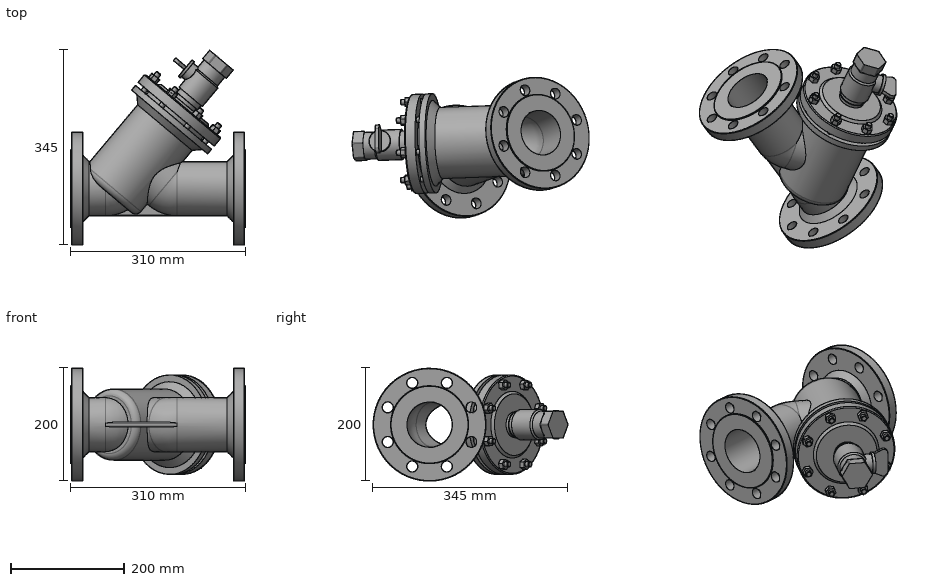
import cadquery as cq
import math

length = 310.0
pipe_radius = 96.0 / 2
bore_radius = 80.0 / 2
half_length = length / 2

flange_radius = 200.0 / 2
flange_thickness = 20.0
flange_edge = 1.0
raised_face_radius = 138.0 / 2
raised_face_height = 2.0
hub_length = 11.0
hub_radius = pipe_radius + hub_length
flange_hole_diameter = 19.0
flange_hole_circle_radius = 160.0 / 2
hole_count = 8
hole_spacing = 360.0 / hole_count

branch_angle = 50.0
branch_radius = 126.0 / 2
branch_corner = 12.0
branch_bottom = -branch_corner
neck_bottom = 141.0
neck_height = 13.0
neck_top_radius = branch_radius + neck_height
joint_flange_radius = 176.0 / 2
joint_bottom = neck_bottom + neck_height
joint_top = 165.0

bend_axis_y = 30.0
inlet_turn = branch_angle
outlet_turn = 90.0 - branch_angle
inlet_bend_x = -92.7
outlet_bend_x = 33.8
branch_origin_x = inlet_bend_x + bend_axis_y * math.tan(math.radians(inlet_turn / 2))
outlet_corner_x = outlet_bend_x - bend_axis_y * math.tan(math.radians(outlet_turn / 2))

rib_thickness = 9.0
rib_edge = 2.0

spigot_height = 7.0
cover_bottom = joint_top + spigot_height
cover_top = 191.0
cover_edge = 2.0
cap_height = 4.5
cap_top = cover_top + cap_height
cap_base_radius = 59.0
cap_top_radius = cap_base_radius - cap_height

root_radius = 45.0 / 2
root_top = 202.3
collar_radius = 48.0 / 2
barrel_radius = 54.0 / 2
barrel_bottom = 212.0
barrel_top = 254.5
barrel_shoulder_top = barrel_top + barrel_radius - collar_radius
hex_bottom = 277.5
hex_top = 296.8
hex_width = 48.0
hex_edge = 2.0

port_height = 244.8
port_radius = 32.0 / 2
disc_radius = 38.0 / 2
disc_inner = 35.0
disc_outer = 40.0
lever_end = 64.7
lever_thickness = 6.5
lever_root_half_width = 18.4
lever_end_half_width = 30.1
lever_corner = 8.0

stud_radius = 10.0 / 2
stud_circle_radius = 152.0 / 2
stud_top = 208.3
stud_tip = 1.0
stud_bottom = joint_top - 8.0
nut_width = 16.0
nut_height = 9.0
nut_turn = -18.5
stud_angles = [hole_spacing * (index + 0.5) for index in range(hole_count)]


def across_corners(width):
    return width / math.cos(math.radians(30))


def along_branch(shape):
    """Move a shape from a local frame, with Z as the branch axis, onto the branch."""
    lean = math.radians(branch_angle)
    axis = (math.cos(lean), math.sin(lean), 0)
    across = (math.sin(lean), -math.cos(lean), 0)
    plane = cq.Plane(origin=(branch_origin_x, 0, 0), xDir=across, normal=axis)
    return shape.val().moved(cq.Location(plane))


def turned(profile):
    """Revolve (radius, height) points about the local Z axis."""
    return cq.Workplane("XZ").polyline(profile).close().revolve(360, (0, 0, 0), (0, 1, 0))


def cylinder(radius, bottom, top):
    return cq.Workplane("XY").workplane(offset=bottom).circle(radius).extrude(top - bottom)


def pipe_along_x(radius, start, end):
    return cq.Workplane("YZ", origin=(start, 0, 0)).circle(radius).extrude(end - start)


def bend(radius, start_x, angle, toward_x):
    """Sweep the part of a round section on the -Y side of the bend axis around that axis."""
    half_chord = math.sqrt(radius**2 - bend_axis_y**2)
    return (
        cq.Workplane("YZ", origin=(start_x, 0, 0))
        .moveTo(bend_axis_y, half_chord)
        .threePointArc((-radius, 0), (bend_axis_y, -half_chord))
        .close()
        .revolve(angle, (bend_axis_y, 0, 0), (bend_axis_y, toward_x, 0))
    )


def outlet_stub(radius):
    """Straight run that joins the branch axis at a right angle to the outlet bend."""
    lean = math.radians(branch_angle)
    corner_distance = outlet_corner_x - branch_origin_x
    height = corner_distance * math.cos(lean)
    bend_end = corner_distance * math.sin(lean) - bend_axis_y * math.tan(math.radians(outlet_turn / 2))
    stub = cq.Workplane("YZ").center(0, height).circle(radius).extrude(bend_end)
    return along_branch(stub)


def pipe_run(radius, end):
    """Inlet pipe and bend, branch, outlet stub, bend and pipe, all of one radius."""
    inlet_bend_end = bend_axis_y * math.tan(math.radians(inlet_turn / 2))
    return (
        pipe_along_x(radius, -end, inlet_bend_x)
        .union(bend(radius, inlet_bend_x, inlet_turn, 1))
        .union(along_branch(cylinder(radius, inlet_bend_end, joint_top)))
        .union(outlet_stub(radius))
        .union(bend(radius, outlet_bend_x, outlet_turn, -1))
        .union(pipe_along_x(radius, outlet_bend_x, end))
    )


def pipe_flange(side):
    """Weld-neck flange at the -X (side = -1) or +X (side = 1) end."""
    back = half_length - raised_face_height - flange_thickness
    front = half_length - raised_face_height
    profile = [
        (back - hub_length, 0),
        (back - hub_length, pipe_radius),
        (back, hub_radius),
        (back, flange_radius - flange_edge),
        (back + flange_edge, flange_radius),
        (front - flange_edge, flange_radius),
        (front, flange_radius - flange_edge),
        (front, raised_face_radius),
        (half_length - flange_edge, raised_face_radius),
        (half_length, raised_face_radius - flange_edge),
        (half_length, 0),
    ]
    points = [(side * x, radius) for x, radius in profile]
    flange = cq.Workplane("XY").polyline(points).close().revolve(360, (0, 0, 0), (1, 0, 0))
    holes = (
        cq.Workplane("YZ", origin=(side * back, 0, 0))
        .polarArray(flange_hole_circle_radius, hole_spacing / 2, 360, hole_count)
        .circle(flange_hole_diameter / 2)
        .extrude(side * flange_thickness)
    )
    return flange.cut(holes)


def branch_shell():
    """Outside of the branch: rounded lower end, tube, conical neck and joint flange."""
    chamber = cylinder(branch_radius, branch_bottom, neck_bottom)
    chamber = chamber.faces("<Z").edges().fillet(branch_corner - 0.01)
    neck = turned([
        (0, neck_bottom),
        (branch_radius, neck_bottom),
        (neck_top_radius, joint_bottom),
        (joint_flange_radius, joint_bottom),
        (joint_flange_radius, joint_top),
        (0, joint_top),
    ])
    return along_branch(chamber.union(neck))


def rib():
    return (
        cq.Workplane("XY")
        .box(outlet_bend_x - inlet_bend_x, pipe_radius, rib_thickness, centered=(False, False, True))
        .edges("|X and <Y")
        .fillet(rib_edge)
        .translate((inlet_bend_x, -pipe_radius, 0))
    )


def at_stud(shape, angle):
    return shape.translate((stud_circle_radius, 0, 0)).rotate((0, 0, 0), (0, 0, 1), angle)


def make_body():
    body = pipe_run(pipe_radius, half_length - raised_face_height)
    body = body.union(branch_shell()).union(rib())
    for side in (-1, 1):
        body = body.union(pipe_flange(side))
    body = body.cut(pipe_run(bore_radius, half_length))
    for angle in stud_angles:
        body = body.cut(along_branch(at_stud(cylinder(stud_radius, stud_bottom, joint_top), angle)))
    return body


def make_cover():
    """Cover plate with its spigot, stem, hexagon and side port with lever."""
    cover = turned([
        (0, joint_top),
        (branch_radius, joint_top),
        (branch_radius, cover_bottom),
        (joint_flange_radius, cover_bottom),
        (joint_flange_radius, cover_top - cover_edge),
        (joint_flange_radius - cover_edge, cover_top),
        (cap_base_radius, cover_top),
        (cap_top_radius, cap_top),
        (root_radius, cap_top),
        (root_radius, root_top),
        (collar_radius, root_top),
        (collar_radius, barrel_bottom),
        (barrel_radius, barrel_bottom),
        (barrel_radius, barrel_top),
        (collar_radius, barrel_shoulder_top),
        (collar_radius, hex_bottom),
        (0, hex_bottom),
    ])
    hexagon = (
        cq.Workplane("XY").workplane(offset=hex_bottom)
        .polygon(6, across_corners(hex_width))
        .extrude(hex_top - hex_bottom)
        .edges("|Z")
        .fillet(hex_edge)
    )
    port = cq.Workplane("YZ").center(0, port_height).circle(port_radius).extrude(-disc_inner)
    disc = (
        cq.Workplane("YZ", origin=(-disc_inner, 0, 0)).center(0, port_height)
        .circle(disc_radius).extrude(disc_inner - disc_outer)
    )
    lever = (
        cq.Workplane("XY").workplane(offset=port_height - lever_thickness / 2)
        .polyline([
            (-disc_outer, -lever_root_half_width),
            (-disc_outer, lever_root_half_width),
            (-lever_end, lever_end_half_width),
            (-lever_end, -lever_end_half_width),
        ])
        .close()
        .extrude(lever_thickness)
        .edges("|Z and <X")
        .fillet(lever_corner)
    )
    cover = cover.union(hexagon).union(port).union(disc).union(lever)
    for angle in stud_angles:
        cover = cover.cut(at_stud(cylinder(stud_radius, cover_bottom, cover_top), angle))
    return along_branch(cover)


def make_stud(angle):
    stud = cylinder(stud_radius, stud_bottom, stud_top).faces(">Z").chamfer(stud_tip)
    nut = (
        cq.Workplane("XY").workplane(offset=cover_top)
        .polygon(6, across_corners(nut_width))
        .extrude(nut_height)
        .rotate((0, 0, 0), (0, 0, 1), nut_turn)
    )
    return along_branch(at_stud(stud.union(nut), angle))


body = make_body()
cover = make_cover()
studs = [make_stud(angle) for angle in stud_angles]

result = cq.Compound.makeCompound([body.val(), cover, *studs])